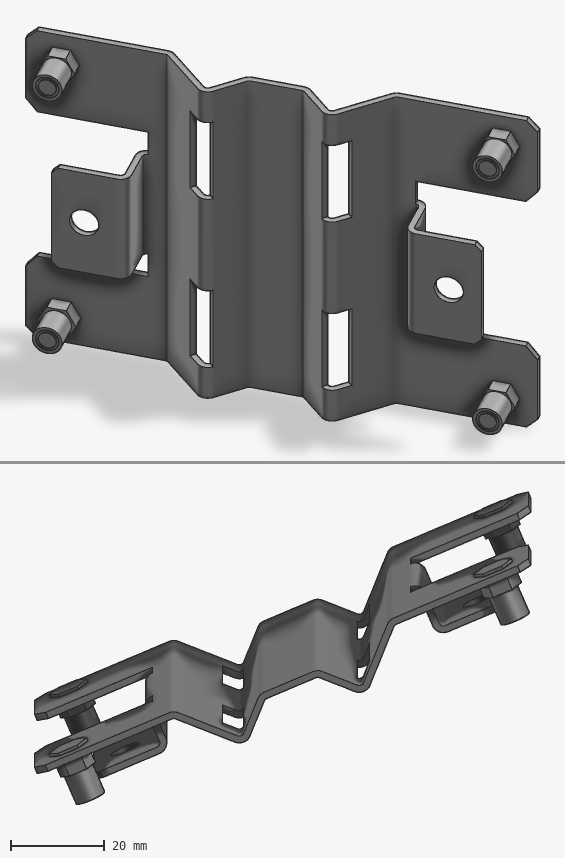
import cadquery as cq
import math


sheet = 1.5
inner_radius = 1.0
mid_radius = inner_radius + sheet / 2
length = 115.0
height = 80.0
depth = 12.2

plateau_half_width = 6.4
plateau_back = 3.9

window_x = 30.0
window_height = 37.7
wing_outer_chamfer = 2.5
wing_inner_chamfer_x = 2.6
wing_inner_chamfer_z = 3.1
tab_height = 26.0
tab_reach = 48.3
tab_chamfer = 1.5
tab_hole_diameter = 6.5
tab_hole_x = 40.9

slot_outer_x = 18.2
slot_inner_x = 12.2
slot_length = 20.0
slot_z = 22.0
slot_clearance = 3.5

fastener_x = 49.5
fastener_z = 33.0
screw_diameter = 5.2
screw_tip_diameter = 4.0
screw_tip_length = 0.2
head_height = 0.7
wide_hex = 7.6
narrow_hex = 7.0
collar_height = 3.5
sleeve_diameter = 6.7
sleeve_end = 11.6

wing_mid_y = -sheet / 2
plateau_mid_y = -plateau_back - sheet / 2
foot_mid_y = -depth + sheet / 2

groove_corner_y = foot_mid_y - mid_radius * (math.sqrt(2) - 1)
groove_x = plateau_half_width + plateau_mid_y - groove_corner_y
wing_corner_x = groove_x + wing_mid_y - groove_corner_y


def bent_sheet(corners, sheet_height):
    """Sheet of constant thickness that follows a mid-line with rounded corners."""
    points = [cq.Vector(x, y, -sheet_height / 2) for x, y in corners]
    path = cq.Wire.makePolygon(points)
    ends = (points[0], points[-1])
    bends = [v for v in path.Vertices() if v.Center() not in ends]
    path = path.fillet(mid_radius, bends)
    start_plane = cq.Plane(origin=points[0], xDir=(0, 1, 0), normal=(1, 0, 0))
    section = cq.Workplane(start_plane).center(0, sheet_height / 2).rect(sheet, sheet_height)
    return section.sweep(cq.Workplane(path))


def corner_diameter(across_flats):
    """Diameter over the corners of a hexagon."""
    return across_flats / math.cos(math.pi / 6)


def mirrored(cutter):
    """Cutter together with its mirror image on the +X side."""
    return cutter.union(cutter.mirror("YZ"))


def folded_plate():
    """Full-height sheet with its wings, V grooves and plateau."""
    left_half = [
        (-length / 2, wing_mid_y),
        (-wing_corner_x, wing_mid_y),
        (-groove_x, groove_corner_y),
        (-plateau_half_width, plateau_mid_y),
    ]
    right_half = [(-x, y) for x, y in reversed(left_half)]
    return bent_sheet(left_half + right_half, height)


def wing_cutter():
    """Window between two wings and the chamfers of the wing corners, on the -X side."""
    end = -length / 2
    window_top = window_height / 2
    window = [
        (-window_x, -window_top),
        (-window_x, window_top),
        (end + wing_inner_chamfer_x, window_top),
        (end, window_top + wing_inner_chamfer_z),
        (end, -window_top - wing_inner_chamfer_z),
        (end + wing_inner_chamfer_x, -window_top),
    ]
    cutter = cq.Workplane("XZ").polyline(window).close().extrude(sheet)
    for side in (-1, 1):
        corner = [
            (end, side * height / 2),
            (end + wing_outer_chamfer, side * height / 2),
            (end, side * (height / 2 - wing_outer_chamfer)),
        ]
        cutter = cutter.union(cq.Workplane("XZ").polyline(corner).close().extrude(sheet))
    return cutter


def tab():
    """Z-shaped tab on the -X side; it starts inside the plate beside the window."""
    leg_x = window_x + inner_radius + sheet / 2
    path = [
        (-window_x + sheet, wing_mid_y),
        (-leg_x, wing_mid_y),
        (-leg_x, foot_mid_y),
        (-tab_reach, foot_mid_y),
    ]
    blank = bent_sheet(path, tab_height).edges("|Y and <X").chamfer(tab_chamfer)
    hole = cq.Workplane("XZ", origin=(-tab_hole_x, 0, 0)).circle(tab_hole_diameter / 2).extrude(depth)
    return blank.cut(hole)


def slot_cutter(z_center):
    """Slot over the bottom of the -X groove, with walls square to the sloping sheet."""
    half_normal = sheet / 2 * math.sqrt(0.5)
    outer_mid_x = -slot_outer_x + half_normal
    inner_mid_x = -slot_inner_x - half_normal
    outer_mid_y = groove_corner_y - (outer_mid_x + groove_x)
    inner_mid_y = groove_corner_y + (inner_mid_x + groove_x)
    reach = sheet * math.sqrt(0.5)
    outline = [
        (outer_mid_x + reach, outer_mid_y + reach),
        (outer_mid_x - reach, outer_mid_y - reach),
        (-groove_x, -depth - slot_clearance),
        (inner_mid_x + reach, inner_mid_y - reach),
        (inner_mid_x - reach, inner_mid_y + reach),
    ]
    slot_start = (0, 0, z_center - slot_length / 2)
    return cq.Workplane("XY", origin=slot_start).polyline(outline).close().extrude(slot_length)


def make_bracket():
    """One folded sheet with its tabs, slots and fastener holes."""
    bracket = folded_plate().cut(mirrored(wing_cutter()))
    for z in (-slot_z, slot_z):
        bracket = bracket.cut(mirrored(slot_cutter(z)))
    bracket = bracket.union(tab()).union(tab().mirror("YZ"))
    for x, z in fastener_places:
        hole = cq.Workplane("XZ", origin=(x, 0, z)).circle(screw_diameter / 2).extrude(sheet)
        bracket = bracket.cut(hole)
    return bracket


def make_screw(x, z):
    """Flat hexagon head on the back face, shank with a stepped tip to the sleeve's free end."""
    base = cq.Workplane("XZ", origin=(x, 0, z))
    shank = base.circle(screw_diameter / 2).extrude(sleeve_end - screw_tip_length)
    shank = shank.faces("<Y").workplane().circle(screw_tip_diameter / 2).extrude(screw_tip_length)
    head = base.polygon(6, corner_diameter(wide_hex)).extrude(-head_height)
    return shank.union(head)


def make_sleeve(x, z, across_flats):
    """Sleeve around the screw with a hexagon collar that rests on the bracket's front face."""
    base = cq.Workplane("XZ", origin=(x, -sheet, z))
    sleeve_length = sleeve_end - sheet
    collar = base.polygon(6, corner_diameter(across_flats)).extrude(collar_height)
    sleeve = collar.union(base.circle(sleeve_diameter / 2).extrude(sleeve_length))
    return sleeve.cut(base.circle(screw_diameter / 2).extrude(sleeve_length))


fastener_places = [(x, z) for x in (-fastener_x, fastener_x) for z in (-fastener_z, fastener_z)]
wide_sleeve_place = (-fastener_x, -fastener_z)

bracket = make_bracket()
screws = []
sleeves = []
for place in fastener_places:
    collar_size = wide_hex if place == wide_sleeve_place else narrow_hex
    screws.append(make_screw(*place).val())
    sleeves.append(make_sleeve(*place, collar_size).val())

result = cq.Compound.makeCompound([bracket.val(), *screws, *sleeves])